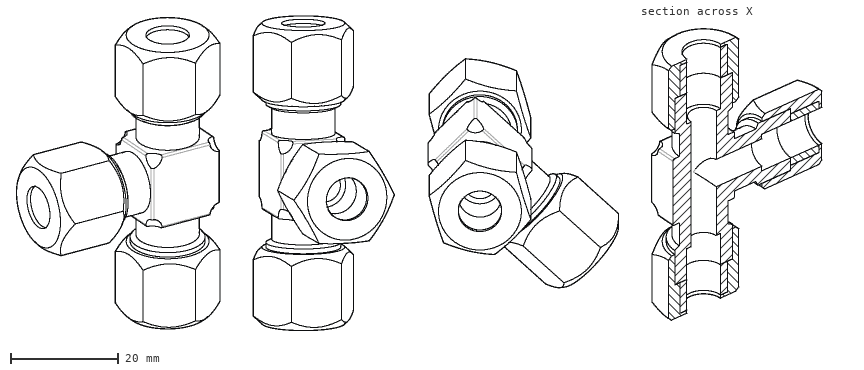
import cadquery as cq
import math


REACH = 28.5
NUT_LENGTH = 14.5
NUT_START = REACH - NUT_LENGTH

ACROSS_FLATS = 17.0
ACROSS_CORNERS = ACROSS_FLATS / math.cos(math.radians(30))
NUT_FACE_RADIUS = 7.75
NUT_CHAMFER_DEPTH = 1.95
NUT_LIP = 0.8

BLOCK_WIDTH = 13.0
BLOCK_SIDE = 15.0
BLOCK_FILLET = 0.4
CORNER_SCOOP_RADIUS = 2.2
NECK_RADIUS = 5.9
THREAD_RADIUS = 7.0
THREAD_START = 12.55
THREAD_CHAMFER_LENGTH = 0.55
ARM_REACH = 21.0
BORE_RADIUS = 3.0

TUBE_RADIUS = 4.05
RING_RADIUS = 5.7
RING_END = REACH - NUT_LIP

ARM_ANGLES = (0, 90, 180)


def cylinder(radius, start, end):
    """Cylinder on the Z axis between two heights."""
    return cq.Workplane("XY").workplane(offset=start).circle(radius).extrude(end - start)


def turned(profile):
    """Solid of revolution about Z from (radius, height) points."""
    return cq.Workplane("XZ").polyline(profile).close().revolve(360, (0, 0), (0, 1))


def on_arm(body, angle):
    """Swing a body built along +Z onto another arm."""
    return body.rotate((0, 0, 0), (1, 0, 0), angle)


def make_block():
    """Centre block with rounded edges and a spherical scoop at each corner."""
    block = cq.Workplane("XY").box(BLOCK_WIDTH, BLOCK_SIDE, BLOCK_SIDE)
    corners = block.vertices().vals()
    block = block.edges().fillet(BLOCK_FILLET)
    for corner in corners:
        place = corner.toTuple()
        scoop = cq.Workplane(cq.Plane(place, normal=place)).sphere(CORNER_SCOOP_RADIUS)
        block = block.cut(scoop)
    return block


def make_arm():
    """Solid arm: a plain neck followed by the thicker threaded end."""
    return turned([
        (0, 0),
        (NECK_RADIUS, 0),
        (NECK_RADIUS, THREAD_START),
        (THREAD_RADIUS, THREAD_START + THREAD_CHAMFER_LENGTH),
        (THREAD_RADIUS, ARM_REACH),
        (0, ARM_REACH),
    ])


def make_tee():
    """Block with three arms, bored through, with a tube socket in each arm."""
    bore = cylinder(BORE_RADIUS, 0, ARM_REACH)
    socket = cylinder(TUBE_RADIUS, NUT_START, ARM_REACH)
    tee = make_block()
    for angle in ARM_ANGLES:
        tee = tee.union(on_arm(make_arm(), angle))
    for angle in ARM_ANGLES:
        tee = tee.cut(on_arm(bore, angle)).cut(on_arm(socket, angle))
    return tee


def make_nut():
    """Hexagonal nut with both ends chamfered, hollow for the arm and the ring."""
    hexagon = (
        cq.Workplane("XY").workplane(offset=NUT_START)
        .polygon(6, ACROSS_CORNERS).extrude(NUT_LENGTH)
    )
    corner_radius = ACROSS_CORNERS / 2
    chamfered_envelope = turned([
        (0, NUT_START),
        (NUT_FACE_RADIUS, NUT_START),
        (corner_radius, NUT_START + NUT_CHAMFER_DEPTH),
        (corner_radius, REACH - NUT_CHAMFER_DEPTH),
        (NUT_FACE_RADIUS, REACH),
        (0, REACH),
    ])
    nut = hexagon.intersect(chamfered_envelope)
    nut = nut.cut(cylinder(THREAD_RADIUS, NUT_START, ARM_REACH))
    nut = nut.cut(cylinder(RING_RADIUS, ARM_REACH, RING_END))
    return nut.cut(cylinder(TUBE_RADIUS, RING_END, REACH))


def make_cutting_ring():
    """Sleeve held between the arm end and the lip of the nut."""
    return cylinder(RING_RADIUS, ARM_REACH, RING_END).cut(cylinder(TUBE_RADIUS, ARM_REACH, RING_END))


tee = make_tee()
nuts = []
cutting_rings = []
for angle in ARM_ANGLES:
    nuts.append(on_arm(make_nut(), angle).val())
    cutting_rings.append(on_arm(make_cutting_ring(), angle).val())

result = cq.Compound.makeCompound([tee.val(), *nuts, *cutting_rings])